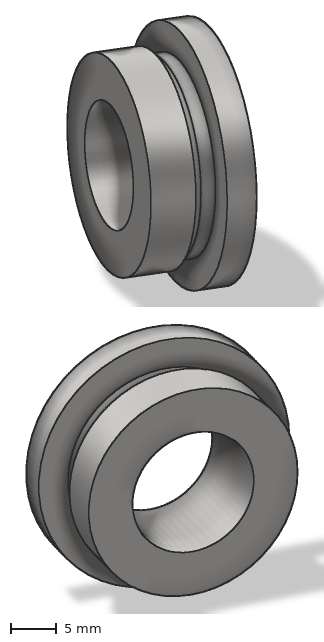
import cadquery as cq

total_length = 11.5
flange_diameter = 30.0
flange_thickness = 3.5
body_diameter = 25.0
neck_diameter = 23.0
neck_length = 1.7
bore_diameter = 14.5

flange_radius = flange_diameter / 2
body_radius = body_diameter / 2
neck_radius = neck_diameter / 2
bore_radius = bore_diameter / 2

flange_inner_y = total_length - flange_thickness
neck_start_y = flange_inner_y - neck_length
taper_length = body_radius - neck_radius
body_end_y = neck_start_y - taper_length

half_section = (
    cq.Workplane("XY")
    .moveTo(bore_radius, 0)
    .lineTo(body_radius, 0)
    .lineTo(body_radius, body_end_y)
    .lineTo(neck_radius, neck_start_y)
    .lineTo(neck_radius, flange_inner_y)
    .lineTo(flange_radius, flange_inner_y)
    .lineTo(flange_radius, total_length)
    .lineTo(bore_radius, total_length)
    .close()
)

result = half_section.revolve(360, (0, 0, 0), (0, 1, 0))